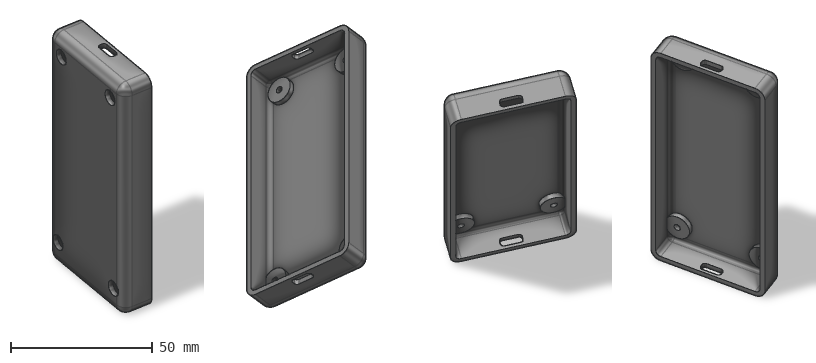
import cadquery as cq

width = 46.0
depth = 12.5
height = 100.0
outer_radius = 4.0
wall = 2.0

slot_length = 8.3
slot_width = 3.3
slot_corner_radius = 1.2
slot_rim_distance = 2.9

screw_diameter = 2.5
head_diameter = 6.0
head_depth = 2.0
seat_thickness = 2.0
post_diameter = head_diameter + 2 * wall
upper_screw_x = 15.0
upper_screw_inset = 8.0
upper_screw_z = height / 2 - upper_screw_inset
lower_screw_x = 17.0
lower_screw_inset = 10.0
lower_screw_z = -height / 2 + lower_screw_inset

rim_y = depth / 2
face_y = -depth / 2
screw_points = [
    (side * x, z)
    for x, z in ((upper_screw_x, upper_screw_z), (lower_screw_x, lower_screw_z))
    for side in (-1, 1)
]


def rounded_tray(inset):
    """Solid envelope moved inwards by inset on every side except the rim."""
    radius = outer_radius - inset
    return (
        cq.Workplane("XY")
        .box(width - 2 * inset, depth - inset, height - 2 * inset)
        .translate((0, inset / 2, 0))
        .edges("|Y")
        .fillet(radius)
        .faces("<Y")
        .edges()
        .fillet(radius)
    )


def screw_cylinders(diameter, length):
    """Cylinders at all screw points, running from the -Y face towards the rim."""
    return (
        cq.Workplane("XZ", origin=(0, face_y, 0))
        .pushPoints(screw_points)
        .circle(diameter / 2)
        .extrude(-length)
    )


def cable_slots():
    """Bar along Z with rounded corners that opens both end walls."""
    return (
        cq.Workplane("XY", origin=(0, rim_y - slot_rim_distance, 0))
        .box(slot_length, slot_width, height)
        .edges("|Z")
        .fillet(slot_corner_radius)
    )


envelope = rounded_tray(0)
posts = screw_cylinders(post_diameter, head_depth + seat_thickness).intersect(envelope)

result = (
    envelope
    .cut(rounded_tray(wall))
    .union(posts)
    .cut(screw_cylinders(head_diameter, head_depth))
    .cut(screw_cylinders(screw_diameter, depth))
    .cut(cable_slots())
)